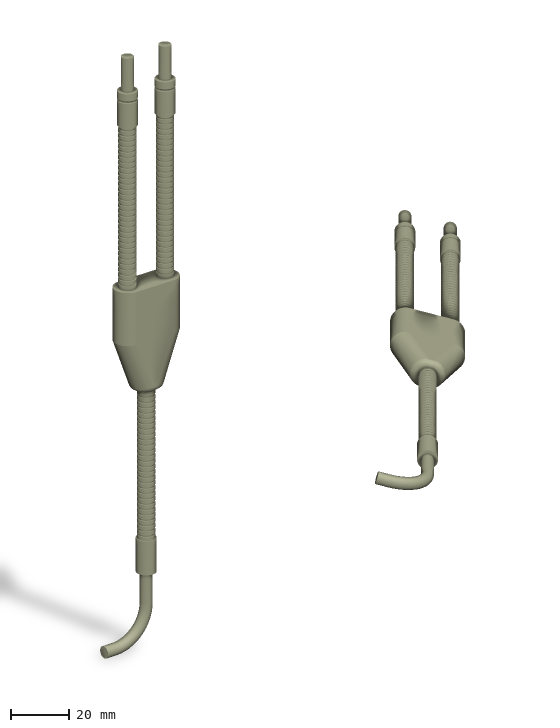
import cadquery as cq

TOTAL_HEIGHT = 225.2
FLANGE_TOP = 212.5
FLANGE_BOTTOM = 209.7
FITTING_SLEEVE_TOP = 208.8
FITTING_SLEEVE_BOTTOM = 199.3
HOUSING_TOP = 137.8
TAPER_TOP = 117.8
HOUSING_BOTTOM = 97.7
LOWER_SLEEVE_TOP = 40.8
LOWER_SLEEVE_BOTTOM = 28.0

TUBE_RADIUS = 2.3
SLEEVE_RADIUS = 3.5
HOSE_RADIUS = 3.2
HOSE_ROOT_RADIUS = 2.7

RIB_PITCH = 2.0
GROOVE_WIDTH = 0.7

HOUSING_THICKNESS = 10.5
HOUSING_WIDTH = 26.4
HOUSING_BOTTOM_WIDTH = 11.3
HOUSING_BOTTOM_FILLET = 2.0
BRANCH_OFFSET = 8.0

BEND_RADIUS = 14.0
TOTAL_DEPTH = 31.3
TUBE_REACH = TOTAL_DEPTH - HOUSING_WIDTH / 2


def cylinder(radius, bottom, top):
    """Upright cylinder on the trunk axis between two heights."""
    return cq.Workplane("XY").workplane(offset=bottom).circle(radius).extrude(top - bottom)


def make_housing():
    """Straight full-round block that tapers towards a rounded lower end."""
    straight = (
        cq.Workplane("XY", origin=(0, 0, TAPER_TOP))
        .slot2D(HOUSING_WIDTH, HOUSING_THICKNESS, 90)
        .extrude(HOUSING_TOP - TAPER_TOP)
    )
    taper = (
        cq.Workplane("XY", origin=(0, 0, HOUSING_BOTTOM))
        .slot2D(HOUSING_BOTTOM_WIDTH, HOUSING_THICKNESS, 90)
        .workplane(offset=TAPER_TOP - HOUSING_BOTTOM)
        .slot2D(HOUSING_WIDTH, HOUSING_THICKNESS, 90)
        .loft(ruled=True)
        .faces("<Z")
        .edges()
        .fillet(HOUSING_BOTTOM_FILLET)
    )
    return straight.union(taper)


def make_hose(bottom, top):
    """Corrugated hose with evenly pitched ring grooves, plain at both ends."""
    hose = cylinder(HOSE_ROOT_RADIUS, bottom, top)
    groove_count = int((top - bottom) / RIB_PITCH)
    rib_bottom = bottom
    for index in range(groove_count):
        groove_bottom = bottom + (index + 1) * RIB_PITCH - GROOVE_WIDTH
        hose = hose.union(cylinder(HOSE_RADIUS, rib_bottom, groove_bottom))
        rib_bottom = groove_bottom + GROOVE_WIDTH
    return hose.union(cylinder(HOSE_RADIUS, rib_bottom, top))


def make_end_fitting():
    """Turned end piece: a sleeve, a narrow neck, a thin flange and a plain stub."""
    stub = cylinder(TUBE_RADIUS, FITTING_SLEEVE_BOTTOM, TOTAL_HEIGHT)
    sleeve = cylinder(SLEEVE_RADIUS, FITTING_SLEEVE_BOTTOM, FITTING_SLEEVE_TOP)
    flange = cylinder(SLEEVE_RADIUS, FLANGE_BOTTOM, FLANGE_TOP)
    return stub.union(sleeve).union(flange)


def make_bent_tube():
    """Tube that drops from the lower sleeve and turns a quarter circle towards -Y."""
    axis_height = TUBE_RADIUS
    bend_top = axis_height + BEND_RADIUS
    path = (
        cq.Workplane("YZ")
        .moveTo(0, LOWER_SLEEVE_BOTTOM)
        .lineTo(0, bend_top)
        .tangentArcPoint((-BEND_RADIUS, axis_height), relative=False)
        .lineTo(-TUBE_REACH, axis_height)
    )
    return cq.Workplane("XY", origin=(0, 0, LOWER_SLEEVE_BOTTOM)).circle(TUBE_RADIUS).sweep(path)


housing = make_housing()
lower_hose = make_hose(LOWER_SLEEVE_TOP, HOUSING_BOTTOM)
lower_sleeve = cylinder(SLEEVE_RADIUS, LOWER_SLEEVE_BOTTOM, LOWER_SLEEVE_TOP)
bent_tube = make_bent_tube()

branch_bodies = []
for side in (-1, 1):
    for body in (make_hose(HOUSING_TOP, FITTING_SLEEVE_BOTTOM), make_end_fitting()):
        branch_bodies.append(body.translate((0, side * BRANCH_OFFSET, 0)).val())

result = cq.Compound.makeCompound(
    [housing.val(), lower_hose.val(), lower_sleeve.val(), bent_tube.val(), *branch_bodies]
)